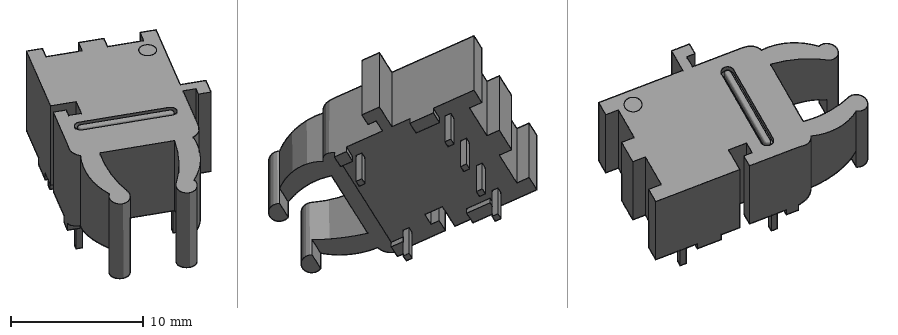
import cadquery as cq
import math


total_length = 18.8
block_width = 10.17
block_height = 7.6
mid_y = block_width / 2
corner_radius = 1.0
corner_center_x = 12.35
block_length = corner_center_x + corner_radius

notch_depth = 1.05
side_tab_width = 1.26
middle_tab_width = 2.0
notch_width = (block_width - middle_tab_width) / 2 - side_tab_width

hook_x = 7.03
hook_neck_width = 0.8
hook_head_width = 1.5
hook_length = 2.01
hook_head_length = 1.0

post_radius = 0.8
post_x = total_length - post_radius
post_y = 2.46
post_back_x = post_x - post_radius / 2
post_half_chord = post_radius * math.sqrt(3) / 2
arm_root_x = 12.78
arm_peak_x = 14.35
arm_peak_y = 0.56
arm_inner_bend_x = 13.54
arm_inner_y = 2.16

slope_start_x = 11.95
slope_end_z = 6.5
arch_height = 1.49

foot_height = 0.64
foot_width = 1.0
rear_foot_x = 3.48
rear_foot_length = 2.01
front_foot_length = 1.03
front_foot_x = slope_start_x - front_foot_length
pin_size = 0.5
pin_length = 3.6
pin_pitch = 2.54
rear_pin_x = 2.78
front_pin_x = rear_pin_x + 3 * pin_pitch

pocket_x = 10.04
pocket_width = 1.0
pocket_span = 7.01
pocket_depth = 0.5
rib_width = 0.56
rib_edge_radius = 0.19

marker_x = 2.27
marker_y = 8.9
marker_radius = 0.68
marker_depth = 0.19


def box(x, y, z, length, width, height):
    """Box with its lowest corner at (x, y, z)."""
    return cq.Workplane("XY").box(length, width, height, centered=False).translate((x, y, z))


def hook_shape(base_y):
    """L-shaped hook profile as tall as the block, reaching from base_y toward +Y."""
    head_y = base_y + hook_length - hook_head_length
    neck = box(hook_x, base_y, 0, hook_neck_width, hook_length, block_height)
    head = box(hook_x, head_y, 0, hook_head_width, hook_head_length, block_height)
    return neck.union(head)


def make_block():
    full_height = block_height + foot_height
    block = box(0, 0, -foot_height, block_length, block_width, full_height)
    block = block.edges("|Z and >X").fillet(corner_radius)
    for notch_y in (side_tab_width, mid_y + middle_tab_width / 2):
        block = block.cut(box(0, notch_y, -foot_height, notch_depth, notch_width, full_height))
    return block


def make_arm():
    """Curved -Y latch arm ending in a round post."""
    rise = post_y - post_half_chord - arm_peak_y
    run = post_back_x - arm_peak_x
    outer_radius = (run**2 + rise**2) / (2 * rise)
    root_offset = arm_peak_x - arm_root_x
    outer_root_y = arm_peak_y + outer_radius - math.sqrt(outer_radius**2 - root_offset**2)
    full_height = block_height + foot_height
    base = cq.Workplane("XY").workplane(offset=-foot_height)
    arm = (
        base.moveTo(arm_root_x, arm_inner_y)
        .lineTo(arm_inner_bend_x, arm_inner_y)
        .tangentArcPoint((post_back_x, post_y + post_half_chord), relative=False)
        .lineTo(post_back_x, post_y - post_half_chord)
        .threePointArc((arm_peak_x, arm_peak_y), (arm_root_x, outer_root_y))
        .close()
        .extrude(full_height)
    )
    post = base.center(post_x, post_y).circle(post_radius).extrude(full_height)
    return arm.union(post)


def underside_cutter():
    """Space below the flat underside and below the arch, back to the posts."""
    arch_run = post_back_x - slope_start_x
    arch_radius = (arch_run**2 + arch_height**2) / (2 * arch_height)
    half_run = arch_run / 2
    arch_mid_z = arch_height - arch_radius + math.sqrt(arch_radius**2 - half_run**2)
    return (
        cq.Workplane("XZ")
        .moveTo(0, -foot_height)
        .lineTo(0, 0)
        .lineTo(slope_start_x, 0)
        .threePointArc((post_back_x - half_run, arch_mid_z), (post_back_x, arch_height))
        .lineTo(post_back_x, -foot_height)
        .close()
        .extrude(-block_width)
    )


def top_slope_cutter():
    return (
        cq.Workplane("XZ")
        .moveTo(slope_start_x, block_height)
        .lineTo(total_length, slope_end_z)
        .lineTo(total_length, block_height)
        .close()
        .extrude(-block_width)
    )


def add_feet(body):
    for foot_y in (0, block_width - foot_width):
        for foot_x, foot_length in (
            (rear_foot_x, rear_foot_length),
            (front_foot_x, front_foot_length),
        ):
            body = body.union(box(foot_x, foot_y, -foot_height, foot_length, foot_width, foot_height))
    return body


def add_pins(body):
    """Four pins in the rear row and two in the front row, in line with the outer rear pins."""
    rear_row = [(rear_pin_x, offset) for offset in (-1.5, -0.5, 0.5, 1.5)]
    front_row = [(front_pin_x, offset) for offset in (-1.5, 1.5)]
    for pin_x, offset in rear_row + front_row:
        corner_x = pin_x - pin_size / 2
        corner_y = mid_y + offset * pin_pitch - pin_size / 2
        body = body.union(box(corner_x, corner_y, -pin_length, pin_size, pin_size, pin_length))
    return body


def stadium(width):
    """Round-ended bar along Y, from the pocket floor to the top face."""
    return (
        cq.Workplane("XY")
        .workplane(offset=block_height - pocket_depth)
        .center(pocket_x, mid_y)
        .slot2D(pocket_span + width, width, 90)
        .extrude(pocket_depth)
    )


def add_ribbed_pocket(body):
    rib = stadium(rib_width).faces(">Z").edges().fillet(rib_edge_radius)
    return body.cut(stadium(pocket_width).cut(rib))


def make_marker():
    return (
        cq.Workplane("XY")
        .workplane(offset=block_height - marker_depth)
        .center(marker_x, marker_y)
        .circle(marker_radius)
        .extrude(marker_depth)
    )


def make_housing():
    arm = make_arm()
    body = make_block().union(arm)
    body = body.union(arm.mirror("XZ", (0, mid_y, 0)))
    body = body.cut(underside_cutter()).cut(top_slope_cutter())
    body = body.cut(hook_shape(0))
    body = body.union(hook_shape(block_width))
    body = add_feet(body)
    body = add_pins(body)
    body = add_ribbed_pocket(body)
    return body.cut(make_marker())


housing = make_housing()
marker = make_marker()

result = cq.Compound.makeCompound([housing.val(), marker.val()])